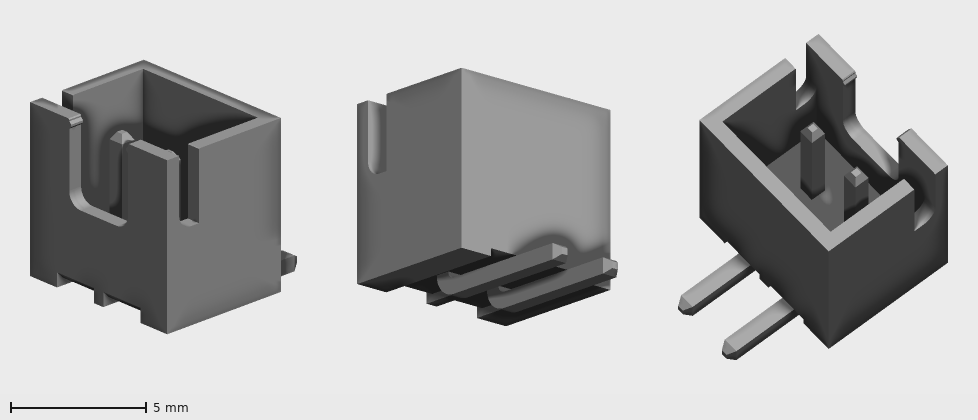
import cadquery as cq


housing_width = 7.4
housing_depth = 5.75
housing_height = 7.0
wall = 0.6
floor_top = 1.5
corner_radius = 0.6

front_slot_width = 3.18
front_slot_bottom = 3.5
catch_projection = 0.105
catch_mouth_relief = 0.04
catch_start_depth = 0.105
catch_upper_depth = 0.21
catch_lower_depth = 0.3
catch_end_depth = 0.4

side_slot_width = 1.0
side_slot_bottom = 4.0
lip_bevel_length = 0.06
lip_bevel_drop = 0.02

channel_width = 2.0
channel_height = 0.305
channel_mouth_height = 0.61
channel_ramp_length = 0.305

pin_pitch = 2.5
pin_width = 0.66
pin_thickness = 0.64
pin_front = 2.03
pin_top = 5.88
pin_tail_end = 8.73
inner_bend_radius = 0.305
outer_bend_radius = inner_bend_radius + pin_thickness
tip_length = 0.305
tip_width = 0.27
pin_positions = [-pin_pitch / 2, pin_pitch / 2]


def box(x_range, y_range, z_range):
    """Box spanning the given (low, high) ranges."""
    sizes = [high - low for low, high in (x_range, y_range, z_range)]
    return cq.Workplane("XY").box(*sizes, centered=False).translate((x_range[0], y_range[0], z_range[0]))


def make_front_slot():
    """Round-cornered opening in the front wall, narrowed near the top by two catches."""
    half = front_slot_width / 2
    opening = box((-half, half), (0, wall), (front_slot_bottom, housing_height))
    opening = opening.edges("|Y and <Z").fillet(corner_radius)
    for side in (-1, 1):
        catch = (
            cq.Workplane("XZ")
            .polyline([
                (side * (half + catch_mouth_relief), housing_height),
                (side * half, housing_height - catch_mouth_relief),
                (side * half, housing_height - catch_start_depth),
                (side * (half - catch_projection), housing_height - catch_upper_depth),
                (side * (half - catch_projection), housing_height - catch_lower_depth),
                (side * half, housing_height - catch_end_depth),
                (side * (half + catch_mouth_relief), housing_height - catch_end_depth),
            ])
            .close()
            .extrude(-wall)
        )
        mouth = box(
            sorted((side * (half - catch_projection), side * (half + catch_mouth_relief))),
            (0, wall),
            (housing_height - catch_upper_depth, housing_height),
        )
        opening = opening.union(mouth).cut(catch)
    return opening


def make_side_slots():
    """Slot through both side walls, rounded at the front of its floor and lightly bevelled at its rear lip."""
    slot_back = wall + side_slot_width
    slot = box(
        (-housing_width / 2, housing_width / 2),
        (wall, slot_back),
        (side_slot_bottom, housing_height),
    )
    slot = slot.edges("|X and <Z and <Y").fillet(corner_radius)
    lip = (
        cq.Workplane("YZ")
        .polyline([
            (slot_back, housing_height - lip_bevel_drop),
            (slot_back + lip_bevel_length, housing_height),
            (slot_back, housing_height),
        ])
        .close()
        .extrude(housing_width / 2, both=True)
    )
    return slot.union(lip)


def make_channel(x):
    """Channel running front to back under the housing, with a sloping roof at its front mouth."""
    return (
        cq.Workplane("YZ")
        .polyline([
            (0, 0),
            (housing_depth, 0),
            (housing_depth, channel_height),
            (channel_ramp_length, channel_height),
            (0, channel_mouth_height),
        ])
        .close()
        .extrude(channel_width / 2, both=True)
        .translate((x, 0, 0))
    )


def make_pin(x):
    """Square pin bent from vertical to a rearward tail, with a pyramid tip at both ends."""
    pin_back = pin_front + pin_thickness
    shoulder = pin_top - tip_length
    tail_shoulder = pin_tail_end - tip_length
    bar = (
        box((-pin_width / 2, pin_width / 2), (pin_front, tail_shoulder), (-pin_thickness, shoulder))
        .edges("|X and <Z and <Y").fillet(outer_bend_radius)
    )
    inside = (
        box((-pin_width / 2, pin_width / 2), (pin_back, tail_shoulder), (0, shoulder))
        .edges("|X and <Z and <Y").fillet(inner_bend_radius)
    )
    upper_tip = (
        cq.Workplane("XY", origin=(0, pin_front + pin_thickness / 2, shoulder))
        .rect(pin_width, pin_thickness)
        .workplane(offset=tip_length)
        .rect(tip_width, tip_width)
        .loft(ruled=True)
    )
    tail_tip = (
        cq.Workplane("XZ", origin=(0, tail_shoulder, -pin_thickness / 2))
        .rect(pin_width, pin_thickness)
        .workplane(offset=-tip_length)
        .rect(tip_width, tip_width)
        .loft(ruled=True)
    )
    return bar.cut(inside).union(upper_tip).union(tail_tip).translate((x, 0, 0))


def make_housing(pins):
    """Open-topped housing with its slots, channels and the holes that the pins fill."""
    half_width = housing_width / 2
    housing = box((-half_width, half_width), (0, housing_depth), (0, housing_height))
    cavity = box(
        (wall - half_width, half_width - wall),
        (wall, housing_depth - wall),
        (floor_top, housing_height),
    )
    housing = housing.cut(cavity).cut(make_front_slot()).cut(make_side_slots())
    for x in pin_positions:
        housing = housing.cut(make_channel(x))
    for pin in pins:
        housing = housing.cut(pin)
    return housing


pins = [make_pin(x) for x in pin_positions]
housing = make_housing(pins)

result = cq.Compound.makeCompound([housing.val(), *[pin.val() for pin in pins]])